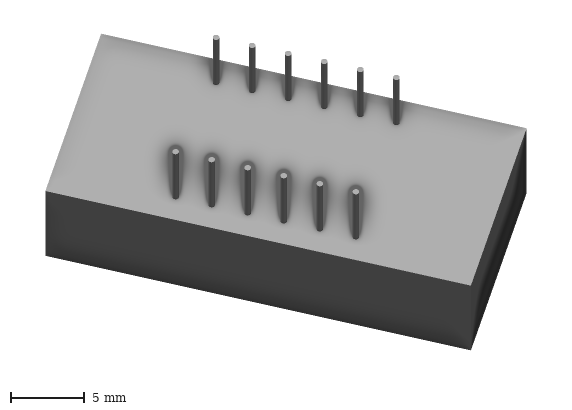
import cadquery as cq

body_length = 30.0
body_width = 14.0
body_height = 7.2

pin_diameter = 0.45
pin_height = 5.0
pins_per_row = 6
row_count = 2
row_spacing = 10.17
pin_pitch = row_spacing / 4


def make_body():
    """Plain block resting on the XY plane, centred on the Z axis."""
    return cq.Workplane("XY").box(
        body_length, body_width, body_height, centered=(True, True, False)
    )


def add_pins(body):
    """Add the centred grid of pins to the top face."""
    return (
        body.faces(">Z")
        .workplane()
        .rarray(pin_pitch, row_spacing, pins_per_row, row_count)
        .circle(pin_diameter / 2)
        .extrude(pin_height)
    )


result = add_pins(make_body())